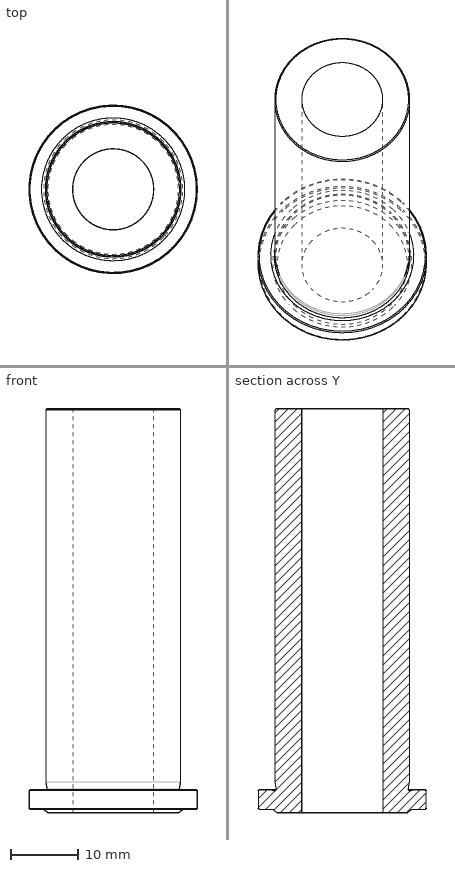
import cadquery as cq

length = 60
bore_radius = 6
body_radius = 10.0
flange_radius = 12.51
edge_chamfer = 0.2

boss_height = 0.5
boss_bottom_radius = 9.65
boss_top_radius = 10.3
flange_top = 3.5

relief_depth = 0.2
relief_top = 4.6
relief_outer_radius = 10.6
neck_radius = body_radius - relief_depth
relief_bottom = flange_top - relief_depth
relief_corner_radius = 0.25

section = (
    cq.Workplane("XZ")
    .moveTo(bore_radius, 0)
    .lineTo(boss_bottom_radius, 0)
    .lineTo(boss_top_radius, boss_height)
    .lineTo(flange_radius - edge_chamfer, boss_height)
    .lineTo(flange_radius, boss_height + edge_chamfer)
    .lineTo(flange_radius, flange_top - edge_chamfer)
    .lineTo(flange_radius - edge_chamfer, flange_top)
    .lineTo(relief_outer_radius, flange_top)
    .lineTo(neck_radius + relief_corner_radius, relief_bottom)
    .radiusArc((neck_radius, relief_bottom + relief_corner_radius), relief_corner_radius)
    .lineTo(body_radius, relief_top)
    .lineTo(body_radius, length - edge_chamfer)
    .lineTo(body_radius - edge_chamfer, length)
    .lineTo(bore_radius, length)
    .close()
)

result = section.revolve(360, (0, 0, 0), (0, 1, 0))